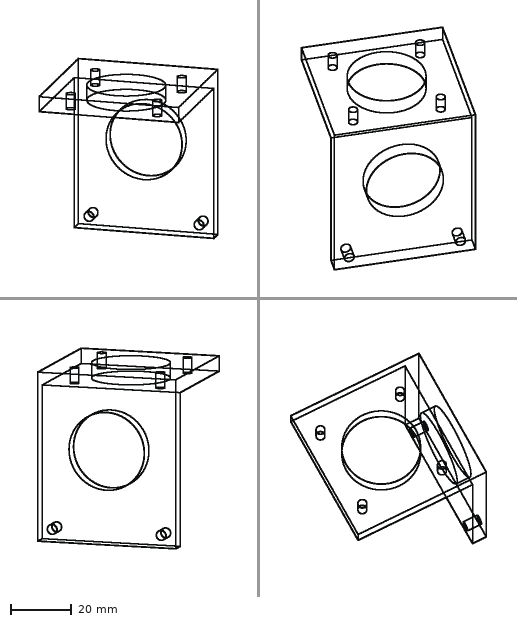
import cadquery as cq

width = 48.25
depth = 48.25
height = 57.15
thickness = 5.2

opening_diameter = 26.3
top_opening_from_front = 21.4
back_opening_height = 31.65

screw_diameter = 3.0
screw_spacing = 29.95

mount_diameter = 3.3
mount_spacing = 38.05
mount_height = 4.3


def make_bracket():
    """L-shaped bracket, centred on X, with its front edge at Y = 0 and its foot at Z = 0."""
    profile = [
        (0, height),
        (depth, height),
        (depth, 0),
        (depth - thickness, 0),
        (depth - thickness, height - thickness),
        (0, height - thickness),
    ]
    return cq.Workplane("YZ").polyline(profile).close().extrude(width / 2, both=True)


def top_plate_holes():
    """Cutters for the opening and screw holes through the horizontal plate."""
    plane = cq.Workplane("XY", origin=(0, top_opening_from_front, height - thickness))
    opening = plane.circle(opening_diameter / 2).extrude(thickness)
    screws = plane.rect(screw_spacing, screw_spacing, forConstruction=True).vertices()
    return opening.union(screws.circle(screw_diameter / 2).extrude(thickness))


def back_plate_holes():
    """Cutters for the opening and mounting holes through the vertical plate."""
    plane = cq.Workplane("XZ", origin=(0, depth, 0))
    opening = plane.center(0, back_opening_height).circle(opening_diameter / 2).extrude(thickness)
    mount_points = [(side * mount_spacing / 2, mount_height) for side in (-1, 1)]
    mounts = plane.pushPoints(mount_points).circle(mount_diameter / 2).extrude(thickness)
    return opening.union(mounts)


result = make_bracket().cut(top_plate_holes()).cut(back_plate_holes())